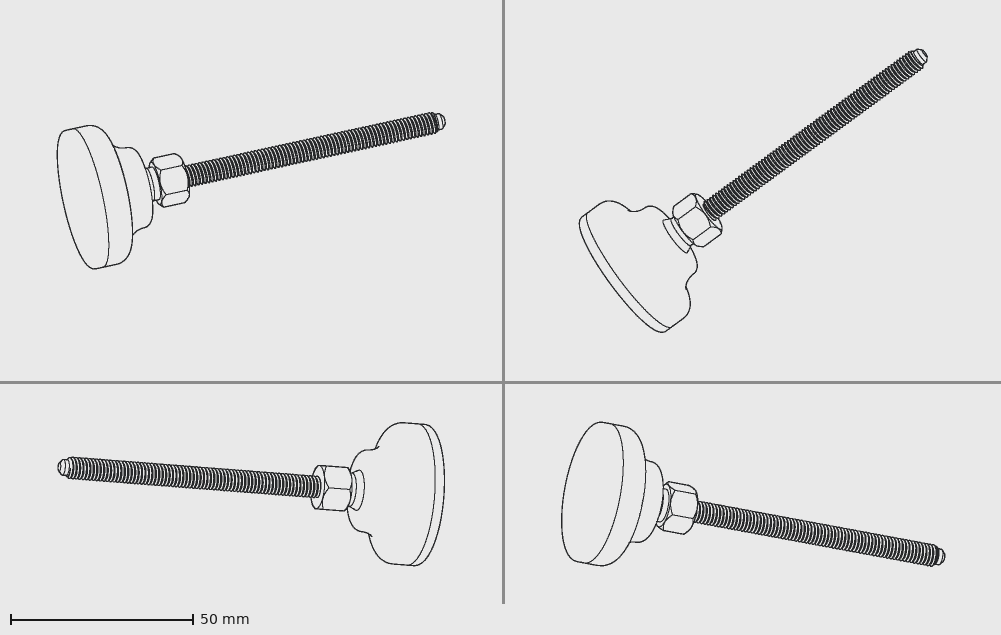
import cadquery as cq
import math

overall_length = 105.47

foot_radius = 19.5
pad_thickness = 3.0
pad_edge_radius = 1.0

rim_top = 7.0
shoulder_radius = 3.9
shoulder_top = rim_top + shoulder_radius
crown_edge_radius = 2.15
foot_top = 18.8
crown_base = foot_top - crown_edge_radius
crown_radius = 11.3

cone_base_radius = 5.55
cone_top = 20.8
neck_radius = 4.6
rod_length = 75.0
hex_length = 8.0
hex_top = overall_length - rod_length
hex_base = hex_top - hex_length
hex_across_flats = 12.0
hex_corner_radius = hex_across_flats / 2 / math.cos(math.pi / 6)
hex_face_radius = 5.95
hex_turn = 13.5

thread_radius = 3.0
thread_pitch = 1.0
thread_depth = 0.54
thread_root_width = 0.06
thread_crest_width = 0.06
thread_mouth_width = thread_pitch - thread_crest_width
thread_turn = 29.0
groove_overshoot = 0.02
turns_per_segment = 5
segment_length = turns_per_segment * thread_pitch
tip_radius = 2.2
tip_chamfer = 1.0
tip_length = 2.15
lead_in = thread_radius - tip_radius


def turn_about_y(profile):
    """Revolve a closed (radius, height) outline a full turn about the Y axis."""
    return profile.close().revolve(360, (0, 0, 0), (0, 1, 0))


def make_pad():
    """Flat disc with a rounded floor edge."""
    disc = cq.Workplane("XZ").circle(foot_radius).extrude(-pad_thickness)
    return disc.faces("<Y").edges().fillet(pad_edge_radius)


def make_foot():
    """Bell-shaped housing: straight rim, rounded shoulder, concave waist, rounded crown."""
    shoulder_inner = foot_radius - shoulder_radius
    waist_run = shoulder_inner - crown_radius
    waist_rise = crown_base - shoulder_top
    waist_radius = (waist_run**2 + waist_rise**2) / (2 * waist_run)
    profile = (
        cq.Workplane("XY")
        .moveTo(0, pad_thickness)
        .lineTo(foot_radius, pad_thickness)
        .lineTo(foot_radius, rim_top)
        .radiusArc((shoulder_inner, shoulder_top), -shoulder_radius)
        .radiusArc((crown_radius, crown_base), waist_radius)
        .radiusArc((crown_radius - crown_edge_radius, foot_top), -crown_edge_radius)
        .lineTo(0, foot_top)
    )
    return turn_about_y(profile)


def make_hexagon():
    """Hexagon with both ends chamfered at 45 degrees by an enclosing turned envelope."""
    chamfer = hex_corner_radius - hex_face_radius
    prism = (
        cq.Workplane("XZ", origin=(0, hex_base, 0))
        .transformed(rotate=(0, 0, hex_turn))
        .polygon(6, 2 * hex_corner_radius)
        .extrude(-hex_length)
    )
    envelope = (
        cq.Workplane("XZ", origin=(0, hex_base, 0))
        .circle(hex_corner_radius)
        .extrude(-hex_length)
        .faces("<Y or >Y")
        .edges()
        .chamfer(chamfer)
    )
    return prism.intersect(envelope)


def make_thread_groove(turns):
    """Right-hand helical groove along Y, starting one pitch below Y = 0."""
    root_radius = thread_radius - thread_depth
    mouth_radius = thread_radius + groove_overshoot
    flank_slope = (thread_mouth_width - thread_root_width) / 2 / thread_depth
    root_half = thread_root_width / 2
    mouth_half = root_half + flank_slope * (mouth_radius - root_radius)
    section = [
        (root_radius, -root_half),
        (mouth_radius, -mouth_half),
        (mouth_radius, mouth_half),
        (root_radius, root_half),
    ]
    length = turns * thread_pitch

    helices = [
        cq.Wire.makeHelix(thread_pitch, length, radius).translate(cq.Vector(0, 0, offset))
        for radius, offset in section
    ]
    faces = [
        cq.Face.makeRuledSurface(helices[i - 1], helices[i])
        for i in range(len(helices))
    ]
    for end in (0, length):
        corners = [cq.Vector(radius, 0, offset + end) for radius, offset in section]
        faces.append(cq.Face.makeFromWires(cq.Wire.makePolygon(corners, close=True)))

    groove = cq.Workplane(cq.Solid.makeSolid(cq.Shell.makeShell(faces)))
    return (
        groove.rotate((0, 0, 0), (0, 0, 1), -90)
        .rotate((0, 0, 0), (1, 0, 0), -90)
        .translate((0, -thread_pitch, 0))
    )


def make_rod_tip():
    """Outermost stretch of the rod: lead-in cone, plain tip and end chamfer, from Y = 0."""
    cone_end = segment_length - tip_length
    return turn_about_y(
        cq.Workplane("XY")
        .lineTo(thread_radius, 0)
        .lineTo(thread_radius, cone_end - lead_in)
        .lineTo(tip_radius, cone_end)
        .lineTo(tip_radius, segment_length - tip_chamfer)
        .lineTo(tip_radius - tip_chamfer, segment_length)
        .lineTo(0, segment_length)
    )


def make_rod_stretches():
    """Threaded rod as equal stretches of whole turns, so the thread runs on unbroken."""
    groove = make_thread_groove(turns_per_segment + 2)
    blank = cq.Workplane("XZ").circle(thread_radius).extrude(-segment_length)
    threaded = blank.cut(groove, clean=False)
    segment = threaded.rotate((0, 0, 0), (0, 1, 0), thread_turn).val()
    tip = threaded.intersect(make_rod_tip(), clean=False).rotate((0, 0, 0), (0, 1, 0), thread_turn).val()

    segment_count = round(rod_length / segment_length)
    stretches = [
        segment.translate(cq.Vector(0, hex_top + i * segment_length, 0))
        for i in range(segment_count - 1)
    ]
    stretches.append(tip.translate(cq.Vector(0, overall_length - segment_length, 0)))
    return stretches


def make_stud():
    """One-piece stud: cone seated on the foot, neck, hexagon and threaded rod."""
    profile = (
        cq.Workplane("XY")
        .moveTo(0, foot_top)
        .lineTo(cone_base_radius, foot_top)
        .lineTo(neck_radius, cone_top)
        .lineTo(neck_radius, hex_base)
        .lineTo(0, hex_base)
    )
    base = turn_about_y(profile).union(make_hexagon())
    return cq.Workplane(base.val().fuse(*make_rod_stretches(), glue=True))


pad = make_pad()
foot = make_foot()
stud = make_stud()

result = cq.Compound.makeCompound([pad.val(), foot.val(), stud.val()])